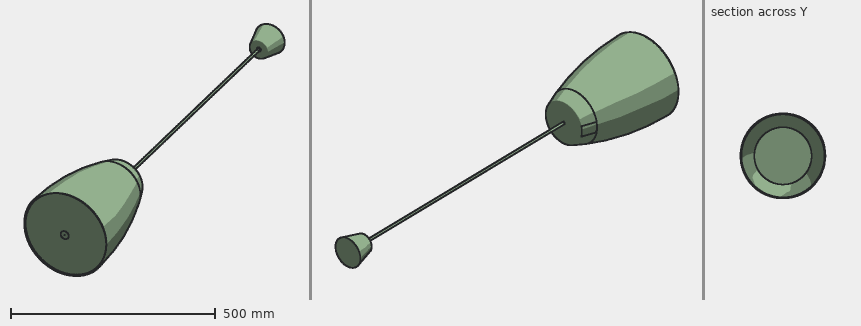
import cadquery as cq
import math


overall_length = 1090.27
lamp_height = 294.0
rim_radius = 115.0

outline_radius = 810.0
diffuser_radius = 222.2 / 2
shade_wall = rim_radius - diffuser_radius
collar_height = 40.0
seam_height = lamp_height - collar_height
collar_edge_round = 3.0
rim_round = 2.0

panel_width = 30.0
panel_depth = 0.5

diffuser_thickness = 3.0
dome_height = 5.0
button_radius = 11.0
button_height = 0.3
tip_radius = 0.94 / 2
tip_height = 0.3

cable_radius = 7.0 / 2
cable_insertion = 10.0

canopy_height = 60.0
canopy_top_radius = 41.0
canopy_bottom_radius = 25.5
canopy_edge_round = 2.5
inlet_radius = 11.0 / 2
inlet_depth = 3.0

diffuser_bottom = -(dome_height + button_height + tip_height)
canopy_top = overall_length + diffuser_bottom
canopy_bottom = canopy_top - canopy_height


def outline_x(height, inset=0.0):
    """Radius of the lamp outline at a height above the rim, moved inwards by inset."""
    arc_radius = outline_radius - inset
    arc_center = rim_radius - outline_radius
    return arc_center + math.sqrt(arc_radius**2 - height**2)


def outline_point(height, inset=0.0):
    return (outline_x(height, inset), height)


def spin(profile):
    """Turn a profile in the XY plane about the Y axis."""
    return profile.close().revolve(360, (0, 0), (0, 1))


def rod(radius, bottom, top):
    """Cylinder along the Y axis."""
    return cq.Workplane("XZ", origin=(0, top, 0)).circle(radius).extrude(top - bottom)


def outline_solid(bottom, top, inset=0.0):
    """Solid inside the curved outline between two heights."""
    return spin(
        cq.Workplane("XY")
        .moveTo(0, bottom)
        .lineTo(*outline_point(bottom, inset))
        .threePointArc(outline_point((bottom + top) / 2, inset), outline_point(top, inset))
        .lineTo(0, top)
    )


def make_shade():
    shade = outline_solid(0, seam_height)
    shade = shade.faces("<Y").edges().fillet(rim_round)
    hollow = outline_solid(0, seam_height, shade_wall)
    diffuser_seat = rod(diffuser_radius, 0, diffuser_thickness)
    return shade.cut(hollow).cut(diffuser_seat)


def make_collar():
    collar = outline_solid(seam_height, lamp_height)
    collar = collar.faces(">Y").edges().fillet(collar_edge_round)
    panel_cut = (
        cq.Workplane("XY")
        .box(
            rim_radius,
            collar_height,
            panel_width,
            centered=(False, True, True),
        )
        .translate((-rim_radius, lamp_height - collar_height / 2, 0))
        .cut(outline_solid(seam_height, lamp_height, panel_depth))
    )
    cable_hole = rod(cable_radius, lamp_height - cable_insertion, lamp_height)
    return collar.cut(panel_cut).cut(cable_hole)


def make_diffuser():
    dome_radius = (diffuser_radius**2 + dome_height**2) / (2 * dome_height)
    half_radius = diffuser_radius / 2
    half_sag = math.sqrt(dome_radius**2 - half_radius**2) - (dome_radius - dome_height)
    dome = spin(
        cq.Workplane("XY")
        .moveTo(0, diffuser_thickness)
        .lineTo(diffuser_radius, diffuser_thickness)
        .lineTo(diffuser_radius, 0)
        .threePointArc((half_radius, -half_sag), (0, -dome_height))
    )
    button_bottom = -(dome_height + button_height)
    button = rod(button_radius, button_bottom, 0)
    tip = rod(tip_radius, diffuser_bottom, 0)
    return dome.union(button).union(tip)


def make_cable():
    return rod(cable_radius, lamp_height - cable_insertion, canopy_bottom + cable_insertion)


def make_canopy():
    body = spin(
        cq.Workplane("XY")
        .moveTo(0, canopy_bottom)
        .lineTo(canopy_bottom_radius, canopy_bottom)
        .lineTo(canopy_top_radius, canopy_top)
        .lineTo(0, canopy_top)
    )
    body = body.faces("<Y").edges().fillet(canopy_edge_round)
    cable_hole = rod(cable_radius, canopy_bottom, canopy_bottom + cable_insertion)
    inlet = rod(inlet_radius, canopy_bottom, canopy_bottom + inlet_depth)
    return body.cut(cable_hole).cut(inlet)


shade = make_shade()
collar = make_collar()
diffuser = make_diffuser()
cable = make_cable()
canopy = make_canopy()

result = cq.Compound.makeCompound(
    [shade.val(), collar.val(), diffuser.val(), cable.val(), canopy.val()]
)